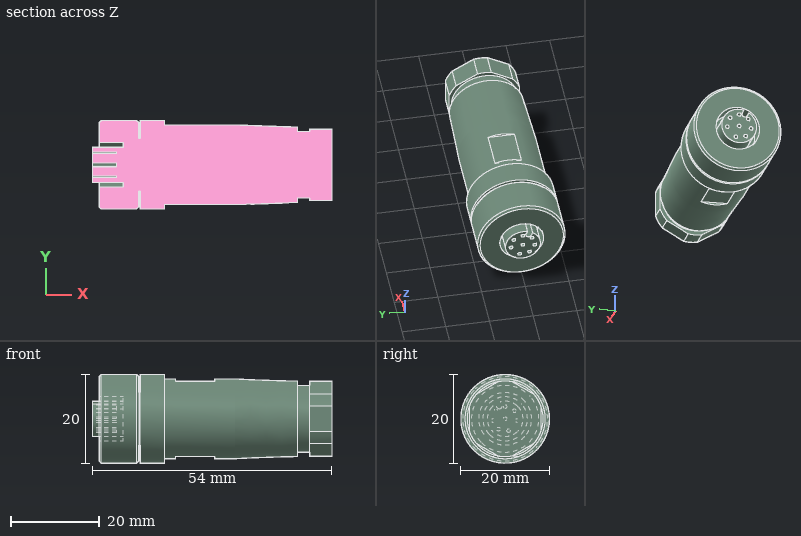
import cadquery as cq
import math

nut_start = 1.5
nut_end = 10.5
collar_start = 10.75
collar_end = 16.3
flat_start = 18.75
flat_end = 27.55
taper_start = 32.25
taper_end = 46.2
hex_start = 49.0
total_length = 54.0

nut_radius = 10.015
nut_chamfer = 0.5
core_radius = 5.95
body_radius = 9.0
taper_end_radius = 8.55
neck_radius = 7.55

hex_across_flats = 16.1
hex_corner_radius = 8.55

recess_radius = 4.995
recess_depth = 5.4
insert_radius = 4.0
pin_hole_radius = 0.405
pin_hole_depth = 5.4
pin_circle_radius = 2.75
pin_count = 7
pin_step = 49.0
first_pin_angle = -2 * pin_step
key_radius = 0.65
key_center_radius = 3.2
key_angle = pin_step / 2

flat_width = 6.05
flat_height = math.sqrt(body_radius**2 - (flat_width / 2) ** 2)


def cylinder(radius, start, end):
    """Round section along X between two stations."""
    return cq.Workplane("YZ").workplane(offset=start).circle(radius).extrude(end - start)


def make_housing():
    """Nut, collar, body, taper and neck as one turned profile."""
    face_radius = nut_radius - nut_chamfer
    profile = [
        (nut_start, 0),
        (nut_start, face_radius),
        (nut_start + nut_chamfer, nut_radius),
        (nut_end - nut_chamfer, nut_radius),
        (nut_end, face_radius),
        (nut_end, core_radius),
        (collar_start, core_radius),
        (collar_start, nut_radius),
        (collar_end, nut_radius),
        (collar_end, body_radius),
        (taper_start, body_radius),
        (taper_end, taper_end_radius),
        (taper_end, neck_radius),
        (hex_start, neck_radius),
        (hex_start, 0),
    ]
    return cq.Workplane("XY").polyline(profile).close().revolve(360, (0, 0, 0), (1, 0, 0))


def make_hexagon():
    """Hexagon with flats facing +Y and -Y and its corners turned round."""
    corner_diameter = hex_across_flats / math.cos(math.pi / 6)
    hexagon = (
        cq.Workplane("YZ")
        .workplane(offset=hex_start)
        .transformed(rotate=(0, 0, 90))
        .polygon(6, corner_diameter)
        .extrude(total_length - hex_start)
    )
    return hexagon.intersect(cylinder(hex_corner_radius, hex_start, total_length))


def cut_wrench_flats(part):
    """Shallow flats, each ending where its plane meets the round body."""
    length = flat_end - flat_start
    depth = body_radius - flat_height
    for side in (1, -1):
        cutter = cq.Workplane("XY").box(length, flat_width, depth).translate(
            ((flat_start + flat_end) / 2, 0, side * (flat_height + depth / 2))
        )
        part = part.cut(cutter)
    return part


def polar(radius, angle):
    """Y, Z position at an angle in degrees from +Z toward -Y."""
    turn = math.radians(angle)
    return (-radius * math.sin(turn), radius * math.cos(turn))


def make_insert():
    """Contact carrier with a round-bottomed keyway and eight contact holes."""
    recess_floor = nut_start + recess_depth
    insert = cylinder(insert_radius, 0, recess_floor)

    keyway_length = insert_radius
    keyway = (
        cq.Workplane("YZ")
        .center(0, key_center_radius)
        .circle(key_radius)
        .extrude(recess_floor)
    )
    keyway_mouth = (
        cq.Workplane("YZ")
        .center(0, key_center_radius + keyway_length / 2)
        .rect(2 * key_radius, keyway_length)
        .extrude(recess_floor)
    )
    keyway = keyway.union(keyway_mouth).rotate((0, 0, 0), (1, 0, 0), key_angle)
    insert = insert.cut(keyway)

    pins = [(0, 0)]
    for index in range(pin_count):
        pins.append(polar(pin_circle_radius, first_pin_angle + index * pin_step))
    holes = cq.Workplane("YZ").pushPoints(pins).circle(pin_hole_radius).extrude(pin_hole_depth)
    return insert.cut(holes)


housing = cut_wrench_flats(make_housing())
housing = housing.cut(cylinder(recess_radius, nut_start, nut_start + recess_depth))
result = housing.union(make_insert()).union(make_hexagon())